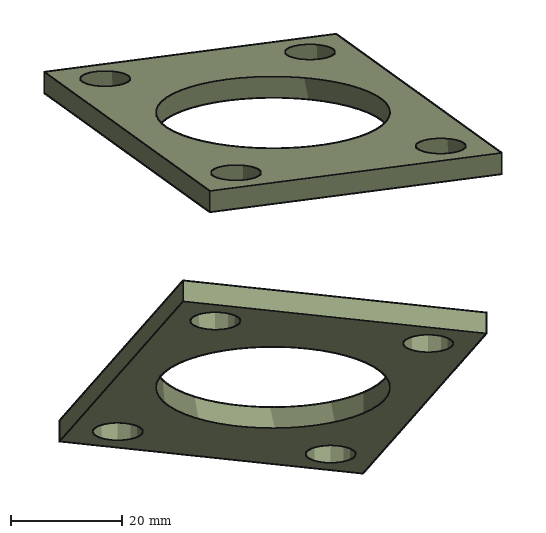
import cadquery as cq

plate_length = 76.0
plate_width = 57.0
plate_thickness = 4.0

bore_diameter = 42.0

bolt_hole_diameter = 9.0
bolt_spacing_x = 60.0
bolt_spacing_y = 40.0

plate = cq.Workplane("XY").box(plate_length, plate_width, plate_thickness)

plate_with_bore = plate.faces(">Z").workplane().hole(bore_diameter)

result = (
    plate_with_bore.faces(">Z")
    .workplane(origin=(0, 0, 0))
    .rect(bolt_spacing_x, bolt_spacing_y, forConstruction=True)
    .vertices()
    .hole(bolt_hole_diameter)
)